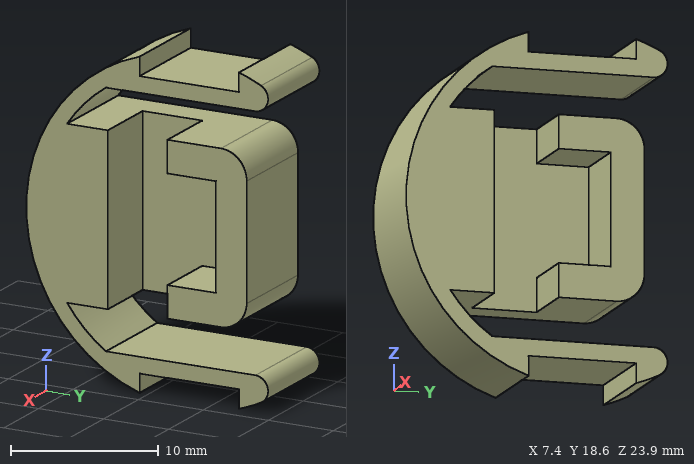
import cadquery as cq
import math

width = 7.4
height = 23.9
notch_half_length = 3.83
notch_floor_z = 10.57
arm_inner_z = 9.37
tip_radius = 1.0
wall = 1.2
block_half_height = 6.35
block_end_y = 4.42
block_corner_radius = 2.0
block_wall = 2.4
side_slot_end_y = -1.67
side_slot_length = 4.6

outer_radius = math.hypot(notch_half_length, height / 2)
inner_radius = outer_radius - wall

tip_z = arm_inner_z + tip_radius
tip_y = math.sqrt((outer_radius - tip_radius) ** 2 - tip_z ** 2)
tip_end_y = tip_y + tip_radius
tip_rim_scale = outer_radius / (outer_radius - tip_radius)
tip_rim_point = (tip_y * tip_rim_scale, tip_z * tip_rim_scale)


def box_between(y_min, y_max, z_min, z_max, x_min=-width / 2):
    """Box between the given Y and Z limits, from x_min to the +X face."""
    return cq.Workplane("XY").box(
        width / 2 - x_min, y_max - y_min, z_max - z_min, centered=False
    ).translate((x_min, y_min, z_min))


def make_disc(radius):
    """Full-width disc about the X axis."""
    return cq.Workplane("YZ").circle(radius).extrude(width / 2, both=True)


def make_frame():
    """Curved wall with a straight arm at the top and the bottom, open towards +Y."""
    arm_gap = box_between(-outer_radius, outer_radius, -arm_inner_z, arm_inner_z)
    open_side = box_between(0, outer_radius, -arm_inner_z, arm_inner_z)
    return make_disc(outer_radius).cut(make_disc(inner_radius).intersect(arm_gap)).cut(open_side)


def make_block():
    """Central block, rounded at its free end and joined to the curved wall."""
    block = box_between(-outer_radius, block_end_y, -block_half_height, block_half_height)
    return block.edges("|X and >Y").fillet(block_corner_radius).intersect(make_disc(outer_radius))


def make_tip_trim():
    """Material beyond the rounded end of the upper arm."""
    trim = box_between(tip_y, outer_radius, arm_inner_z, outer_radius)
    kept_tip = (
        cq.Workplane("YZ")
        .moveTo(tip_y, arm_inner_z)
        .threePointArc((tip_end_y, tip_z), tip_rim_point)
        .lineTo(tip_y, outer_radius)
        .close()
        .extrude(width / 2, both=True)
    )
    return trim.cut(kept_tip)


def make_notch():
    """Open notch in the outside of the upper arm."""
    return box_between(-notch_half_length, notch_half_length, notch_floor_z, outer_radius)


def make_pocket():
    """Blind pocket in the +X face of the block, with a slot through its upper and lower walls."""
    floor_x = -width / 2 + block_wall
    pocket_half_height = block_half_height - block_wall
    root_y = side_slot_end_y - side_slot_length
    pocket = box_between(
        root_y, block_end_y - block_wall, -pocket_half_height, pocket_half_height, floor_x
    )
    slots = box_between(root_y, side_slot_end_y, -block_half_height, block_half_height, floor_x)
    return pocket.union(slots)


result = make_frame().union(make_block()).cut(make_pocket())
for cutter in (make_tip_trim(), make_notch()):
    result = result.cut(cutter).cut(cutter.mirror("XY"))